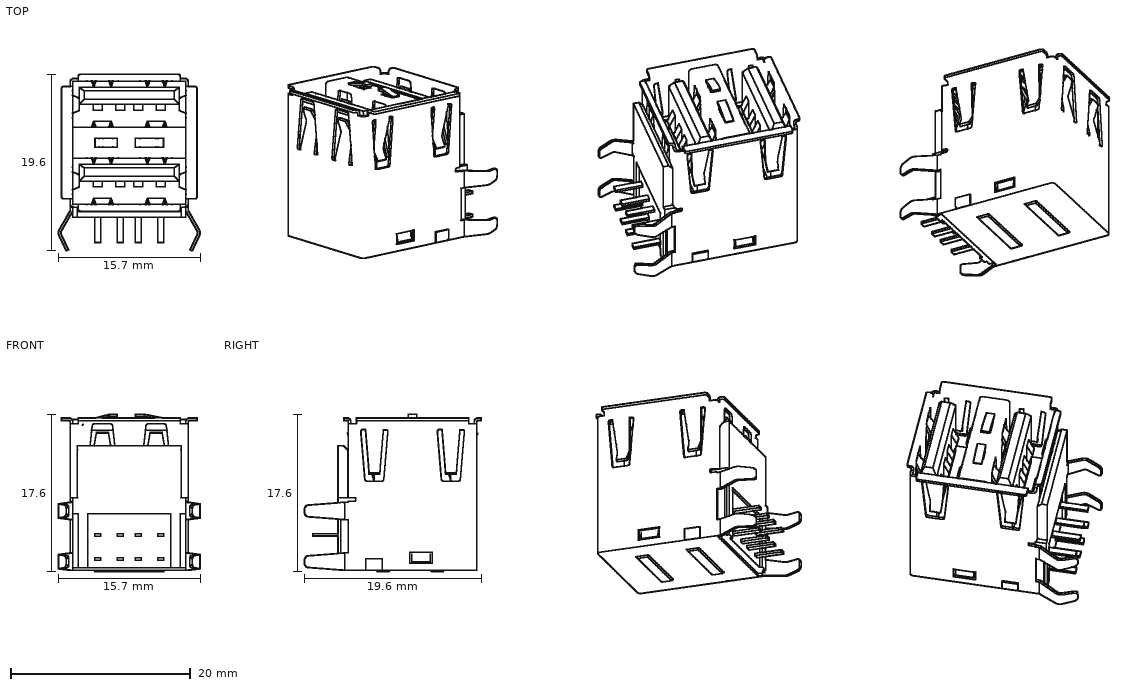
import cadquery as cq
import math


SHEET = 0.3
BEND_INNER = 0.12
BEND_OUTER = BEND_INNER + SHEET

SHELL_X = 13.15
SHELL_Y = 14.3
SHELL_TOP = 16.95
CORNER_TOP = 16.3
INNER_X = SHELL_X - 2 * SHEET
INNER_Y = SHELL_Y - 2 * SHEET

FLANGE_FRONT_LENGTH = 11.35
FLANGE_SIDE_LENGTH = 12.51
FLANGE_FRONT_REACH = 7.62
FLANGE_SIDE_REACH = 7.55
FLANGE_CORNER = 0.27

OPENING_TOP = 8.1
SLOT_HEIGHT = 0.43
SLOT_END_Y = -6.3
SLOT_END_RADIUS = 0.206

SIDE_LEAF_WIDTHS = (2.0, 1.37, 1.18)
SIDE_LEAF_BEND_DROP = 3.5
SIDE_LEAF_TIP_DROP = 1.05
SIDE_WINDOW_WIDTHS = (3.02, 2.06)
PORT_LEAF_WIDTHS = (2.44, 1.95, 1.25)
PORT_LEAF_BEND_DROP = 2.99
PORT_LEAF_TIP_DROP = 1.65
PORT_WINDOW_WIDTHS = (3.54, 2.22)
LEAF_LEAD = 0.27
LEAF_RADIUS = 0.2
PORT_WINDOW_LENGTH = 5.97
SIDE_WINDOW_LENGTH = 5.73
PORT_WINDOW_TOP = 16.28
SIDE_WINDOW_TOP = 15.65
WINDOW_ROUND = 0.24
PORT_ROOT_Z = PORT_WINDOW_TOP - PORT_WINDOW_LENGTH
LEAF_X = 2.99
LEAF_TIP_PLAY = 0.1
SIDE_LEAF_DEPTH = 0.75
PORT_LEAF_DEPTH = 0.69
SIDE_LEAF_SPACING = 8.5
SIDE_LEAF_BACK_Y = 4.26

LEG_ROOT_HEIGHT = 1.95
LEG_TIP_HEIGHT = 1.25
LEG_SPACING = 5.64
LEG_BEND_Y = -7.56
LEG_KNEE_X = 7.97
LEG_KNEE_Y = -10.0
LEG_TIP_X = 7.01
LEG_TIP_Y = -12.02
LEG_KNEE_RADIUS = 0.79
LEG_TIP_ROUND = 0.5

LATCH_Y = 0.95
LATCH_Z = 1.41
LATCH_WIDTH = 2.51
LATCH_HEIGHT = 1.22
BARB_WIDTH = 2.05
BARB_HEIGHT = 0.8
BARB_OUT = 0.2
BARB_DROP = 0.04

FOLD_Y = -4.26
FOLD_WIDTH = 1.83
FOLD_HEIGHT = 1.3
FOLD_OUT = 0.2
FOLD_RADIUS = 0.35
RIDGE_X = 7.85
RIDGE_Y = 1.5
RIDGE_HEIGHT = 0.18
RIDGE_TAPER = 40
RIDGE_PLACES = [2.75, -3.26]

DIVIDER_Y = 3.44
DIVIDER_TOP = 16.8
TAB_TOP = 17.38
TAB_WIDTH = 0.96
TAB_THICK = 0.25
TAB_ROOT_X = 3.83
TAB_HOLE_ROOT_X = 2.95
TAB_OVERHANG = 0.5
TAB_ROOT_TOP = 16.93
SHORT_TAB_BEND_X = 2.06
SHORT_TAB_TIP_X = 1.34
SHORT_TAB_RADIUS = 1.87
LONG_TAB_BEND_X = 1.57
LONG_TAB_TIP_X = 0.67
LONG_TAB_RADIUS = 4.03

FLOOR_Z = OPENING_TOP
FACE_Y = -8.29
PLATE_X = 11.55
PLATE_TOP = 13.87
PLATE_BACK_Y = -7.19
PLATE_CHAMFER = 0.47
RECESS_TOP = 6.28
RECESS_X = 9.27
RECESS_DEPTH = 0.31
STEP_X = 11.35

TONGUE_X = 11.08
TONGUE_Y = 1.87
TONGUE_TOP = 16.42
TONGUE_SHOULDER = 15.57
TONGUE_TOP_X = 10.05
TONGUE_TOP_Y = 0.96
TONGUE_TOP_SHIFT = 0.08
TONGUE_BACK_Y = 5.2
TONGUE_SPACING = 8.55

CONTACT_PLACES = [-3.5, -1.0, 1.0, 3.5]
CONTACT_WIDTH = 1.0
CONTACT_BULGE = 0.65
CONTACT_LOW = 9.92
CONTACT_PEAK = 11.98
CONTACT_HIGH = 13.35
PIN_WIDTH = 0.7
PIN_THICK = 0.27
PIN_END_Y = -11.12
PIN_ROWS = [1.28, 3.95]


def block(x_range, y_range, z_range):
    """Box between two limits along each axis."""
    size = [high - low for low, high in (x_range, y_range, z_range)]
    corner = (x_range[0], y_range[0], z_range[0])
    return cq.Workplane("XY").box(*size, centered=False).translate(corner)


def bent_strip(path, thickness):
    """Closed outline of a bent sheet: the path and its parallel to the left."""
    turns = [math.atan2(b[1] - a[1], b[0] - a[0]) for a, b in zip(path, path[1:])]
    parallel = []
    for i, point in enumerate(path):
        before = turns[max(i - 1, 0)]
        after = turns[min(i, len(turns) - 1)]
        middle = (before + after) / 2
        offset = thickness / math.cos((after - before) / 2)
        parallel.append((point[0] - offset * math.sin(middle), point[1] + offset * math.cos(middle)))
    return path + parallel[::-1]


def round_edge(body, direction, point, radius):
    """Fillet the edge along one axis whose middle is nearest to a point."""
    nearest = cq.selectors.NearestToPointSelector(point)
    return body.edges("|" + direction).edges(nearest).fillet(radius)


def trapezoid(width_start, width_end, length):
    """Outline centred on the vertical axis, from height 0 down to -length."""
    return [
        (-width_start / 2, 0),
        (width_start / 2, 0),
        (width_end / 2, -length),
        (-width_end / 2, -length),
    ]



def leaf(root_width, bend_width, tip_width, depth, bend_drop, tip_drop, tip_y):
    """Narrowing leaf that leans in to a depth over bend_drop, then flares back to tip_y over tip_drop."""
    bend_z = -LEAF_LEAD - bend_drop
    tip_z = bend_z - tip_drop
    outline = bent_strip([(0, 0), (0, -LEAF_LEAD), (depth, bend_z), (tip_y, tip_z)], SHEET)
    hollow_bend, crown_bend = outline[2], outline[5]
    sheet = cq.Workplane("YZ").polyline(outline).close().extrude(root_width, both=True)
    sheet = round_edge(sheet, "X", (0, *hollow_bend), LEAF_RADIUS)
    sheet = round_edge(sheet, "X", (0, *crown_bend), LEAF_RADIUS + SHEET)
    below_tip = tip_z - SHEET
    envelope = (
        cq.Workplane("XZ")
        .polyline([
            (-root_width / 2, 0),
            (root_width / 2, 0),
            (bend_width / 2, bend_z),
            (tip_width / 2, below_tip),
            (-tip_width / 2, below_tip),
            (-bend_width / 2, bend_z),
        ])
        .close()
        .extrude(SHELL_Y, both=True)
    )
    return sheet.intersect(envelope)


def leaf_window(root_width, tip_width, length):
    outline = trapezoid(root_width, tip_width, length)
    cutter = cq.Workplane("XZ").polyline(outline).close().extrude(-SHEET)
    return cutter.edges("|Y").fillet(WINDOW_ROUND)


def side_leaf():
    return leaf(
        *SIDE_LEAF_WIDTHS,
        SIDE_LEAF_DEPTH,
        SIDE_LEAF_BEND_DROP,
        SIDE_LEAF_TIP_DROP,
        LEAF_TIP_PLAY,
    )


def side_window():
    return leaf_window(*SIDE_WINDOW_WIDTHS, SIDE_WINDOW_LENGTH)


def port_leaf():
    """Leaf of the wide port faces; it stands on its root."""
    hanging = leaf(
        *PORT_LEAF_WIDTHS,
        PORT_LEAF_DEPTH,
        PORT_LEAF_BEND_DROP,
        PORT_LEAF_TIP_DROP,
        -LEAF_TIP_PLAY,
    )
    return hanging.rotate((0, 0, 0), (0, 1, 0), 180)


def port_window():
    return leaf_window(*PORT_WINDOW_WIDTHS, PORT_WINDOW_LENGTH).rotate((0, 0, 0), (0, 1, 0), 180)


def fit_leaves(body, window, spring, turn, places):
    """Open a window and set a spring leaf at each place in a wall turned about Z."""
    axis = ((0, 0, 0), (0, 0, 1))
    for place in places:
        body = body.cut(window.rotate(*axis, turn).translate(place))
        body = body.union(spring.rotate(*axis, turn).translate(place))
    return body



def cavity(bottom, top):
    """Space between the shell walls from one height to another."""
    return (
        cq.Workplane("XY", origin=(0, 0, bottom))
        .rect(INNER_X, INNER_Y)
        .extrude(top - bottom)
        .edges("|Z")
        .fillet(BEND_INNER)
    )


def flange(wall_distance, reach, length):
    """Flange on the -Y side, bent outwards from a wall whose outer face is at wall_distance."""
    inner_face = wall_distance - SHEET
    path = [(-inner_face, CORNER_TOP), (-inner_face, SHELL_TOP), (-reach, SHELL_TOP)]
    strip = cq.Workplane("YZ").polyline(bent_strip(path, SHEET)).close().extrude(length / 2, both=True)
    strip = round_edge(strip, "X", (0, -inner_face, SHELL_TOP), BEND_OUTER)
    strip = round_edge(strip, "X", (0, -wall_distance, SHELL_TOP - SHEET), BEND_INNER)
    return strip.faces("<Y").edges("|Z").fillet(FLANGE_CORNER)


def leg():
    """Lower leg on the -X side: a strip cranked out and back, tapered to a round tip."""
    wall = -SHELL_X / 2
    path = [
        (wall, -SHELL_Y / 2),
        (wall, LEG_BEND_Y),
        (-LEG_KNEE_X, LEG_KNEE_Y),
        (-LEG_TIP_X, LEG_TIP_Y),
    ]
    outline = bent_strip(path, SHEET)
    strip = cq.Workplane("XY").polyline(outline).close().extrude(LEG_ROOT_HEIGHT)
    middle = LEG_ROOT_HEIGHT / 2
    outer_knee, inner_knee = outline[2], outline[5]
    strip = round_edge(strip, "Z", (*outer_knee, middle), LEG_KNEE_RADIUS)
    strip = round_edge(strip, "Z", (*inner_knee, middle), LEG_KNEE_RADIUS - SHEET)
    half_root = LEG_ROOT_HEIGHT / 2
    half_tip = LEG_TIP_HEIGHT / 2
    taper = (
        cq.Workplane("YZ")
        .polyline([
            (-SHELL_Y / 2, middle - half_root),
            (LEG_BEND_Y, middle - half_root),
            (LEG_TIP_Y, middle - half_tip),
            (LEG_TIP_Y, middle + half_tip),
            (LEG_BEND_Y, middle + half_root),
            (-SHELL_Y / 2, middle + half_root),
        ])
        .close()
        .extrude(SHELL_X, both=True)
        .faces("<Y")
        .edges("|X")
        .fillet(LEG_TIP_ROUND)
    )
    return strip.intersect(taper)


def fold():
    """Folded tab standing out of the -X side, with its rounded bend at the bottom."""
    wall = -SHELL_X / 2
    y_range = (FOLD_Y - FOLD_WIDTH / 2, FOLD_Y + FOLD_WIDTH / 2)
    tab = block((wall - FOLD_OUT, wall + SHEET), y_range, (0, FOLD_HEIGHT))
    return tab.edges("<X and |Y").edges("<Z").fillet(FOLD_RADIUS)


def make_shell():
    half_x = SHELL_X / 2
    half_y = SHELL_Y / 2
    body = cq.Workplane("XY").rect(SHELL_X, SHELL_Y).extrude(CORNER_TOP).edges("|Z").fillet(BEND_OUTER)
    body = body.union(block((-half_x, half_x), (-half_y, SLOT_END_Y), (0, OPENING_TOP)))
    body = body.cut(cavity(SHEET, SHELL_TOP))

    body = body.cut(block((-INNER_X / 2, INNER_X / 2), (-half_y, SLOT_END_Y), (SHEET, OPENING_TOP)))
    slot = block((-half_x, half_x), (-half_y, SLOT_END_Y), (OPENING_TOP - SLOT_HEIGHT, OPENING_TOP))
    slot = slot.edges("|X and >Y").fillet(SLOT_END_RADIUS)
    body = body.cut(slot)

    axis = ((0, 0, 0), (0, 0, 1))
    front_flange = flange(half_y, FLANGE_FRONT_REACH, FLANGE_FRONT_LENGTH)
    side_flange = flange(half_x, FLANGE_SIDE_REACH, FLANGE_SIDE_LENGTH)
    for turn in (0, 180):
        body = body.union(front_flange.rotate(*axis, turn))
        body = body.union(side_flange.rotate(*axis, turn + 90))

    lower_leg = leg()
    for lift in (0, LEG_SPACING):
        raised = lower_leg.translate((0, 0, lift))
        body = body.union(raised).union(raised.mirror("YZ"))
    body = body.cut(
        cq.Workplane("XY").box(2 * SHELL_X, LATCH_WIDTH, LATCH_HEIGHT)
        .translate((0, LATCH_Y, LATCH_Z))
    )
    body = body.union(fold()).union(fold().mirror("YZ"))

    for y in RIDGE_PLACES:
        ridge = cq.Workplane("XY").rect(RIDGE_X, RIDGE_Y).extrude(-RIDGE_HEIGHT, taper=RIDGE_TAPER)
        body = body.union(ridge.translate((0, y, 0)))

    side_ys = (SIDE_LEAF_BACK_Y, SIDE_LEAF_BACK_Y - SIDE_LEAF_SPACING)
    for turn, side in ((-90, -1), (90, 1)):
        places = [(side * half_x, y, SIDE_WINDOW_TOP) for y in side_ys]
        body = fit_leaves(body, side_window(), side_leaf(), turn, places)
    for turn, side in ((0, -1), (180, 1)):
        places = [(x, side * half_y, PORT_ROOT_Z) for x in (-LEAF_X, LEAF_X)]
        body = fit_leaves(body, port_window(), port_leaf(), turn, places)
    return body



def lift_tab(body, side, bend_x, tip_x, bend_radius):
    """Add a tab that rises from its root in the divider top and levels out over a hole."""
    path = [(tip_x, TAB_TOP), (bend_x, TAB_TOP), (TAB_ROOT_X, TAB_ROOT_TOP)]
    strip = bent_strip(path, -TAB_THICK)
    tab = cq.Workplane("XZ").polyline(strip).close().extrude(TAB_WIDTH / 2, both=True)
    upper_bend, lower_bend = strip[1], strip[4]
    tab = round_edge(tab, "Y", (upper_bend[0], 0, upper_bend[1]), bend_radius)
    tab = round_edge(tab, "Y", (lower_bend[0], 0, lower_bend[1]), bend_radius - TAB_THICK)
    half = TAB_WIDTH / 2
    hole_x = (tip_x + TAB_OVERHANG, TAB_HOLE_ROOT_X)
    hole = block(hole_x, (-half, half), (DIVIDER_TOP - SHEET, DIVIDER_TOP))
    if side < 0:
        tab = tab.mirror("YZ")
        hole = hole.mirror("YZ")
    return body.cut(hole).union(tab)


def make_divider():
    half_y = DIVIDER_Y / 2
    height = DIVIDER_TOP - FLOOR_Z
    centre_z = FLOOR_Z + height / 2
    outer = cq.Workplane("XY").box(INNER_X, DIVIDER_Y, height).edges("|X and >Z").fillet(BEND_OUTER)
    inner = (
        cq.Workplane("XY").box(INNER_X, DIVIDER_Y - 2 * SHEET, height)
        .edges("|X and >Z").fillet(BEND_INNER)
        .translate((0, 0, -SHEET))
    )
    body = outer.cut(inner).translate((0, 0, centre_z))
    body = lift_tab(body, -1, SHORT_TAB_BEND_X, SHORT_TAB_TIP_X, SHORT_TAB_RADIUS)
    body = lift_tab(body, 1, LONG_TAB_BEND_X, LONG_TAB_TIP_X, LONG_TAB_RADIUS)

    for turn, side in ((0, 1), (180, -1)):
        places = [(x, side * (half_y - SHEET), PORT_ROOT_Z) for x in (-LEAF_X, LEAF_X)]
        body = fit_leaves(body, port_window(), port_leaf(), turn, places)
    return body



def tongue():
    """Tongue at Y = 0 with a bevelled top and four contact bulges on its -Y face."""
    post = block(
        (-TONGUE_X / 2, TONGUE_X / 2), (-TONGUE_Y / 2, TONGUE_Y / 2), (FLOOR_Z, TONGUE_SHOULDER)
    )
    bevel = (
        cq.Workplane("XY", origin=(0, 0, TONGUE_SHOULDER))
        .rect(TONGUE_X, TONGUE_Y)
        .workplane(offset=TONGUE_TOP - TONGUE_SHOULDER)
        .center(0, TONGUE_TOP_SHIFT)
        .rect(TONGUE_TOP_X, TONGUE_TOP_Y)
        .loft(ruled=True)
    )
    body = post.union(bevel)
    face = -TONGUE_Y / 2
    bulge = (
        cq.Workplane("YZ")
        .polyline([(face, CONTACT_LOW), (face - CONTACT_BULGE, CONTACT_PEAK), (face, CONTACT_HIGH)])
        .close()
        .extrude(CONTACT_WIDTH / 2, both=True)
    )
    for x in CONTACT_PLACES:
        body = body.union(bulge.translate((x, 0, 0)))
    return body


def barb():
    """Latch barb on the -X side, sloping out towards its lower edge."""
    top = LATCH_Z + BARB_HEIGHT / 2 - BARB_DROP
    wall = -INNER_X / 2
    return (
        cq.Workplane("XZ", origin=(0, LATCH_Y, 0))
        .polyline([(wall, top), (wall - BARB_OUT, top - BARB_HEIGHT), (wall, top - BARB_HEIGHT)])
        .close()
        .extrude(BARB_WIDTH / 2, both=True)
    )


def make_insulator():
    half_x = INNER_X / 2
    body = cavity(SHEET, FLOOR_Z)
    body = body.union(block((-half_x, half_x), (FACE_Y, SLOT_END_Y), (SHEET, OPENING_TOP)))

    plate = block((-PLATE_X / 2, PLATE_X / 2), (FACE_Y, PLATE_BACK_Y), (OPENING_TOP, PLATE_TOP))
    body = body.union(plate.edges(">Y and >Z").chamfer(PLATE_CHAMFER))

    low = (SHEET, RECESS_TOP)
    body = body.cut(block((-RECESS_X / 2, RECESS_X / 2), (FACE_Y, FACE_Y + RECESS_DEPTH), low))
    step = block((-half_x, -STEP_X / 2), (FACE_Y, FACE_Y + RECESS_DEPTH), low)
    body = body.cut(step).cut(step.mirror("YZ"))

    for y in (TONGUE_BACK_Y, TONGUE_BACK_Y - TONGUE_SPACING):
        body = body.union(tongue().translate((0, y, 0)))
    body = body.union(barb()).union(barb().mirror("YZ"))

    for x in CONTACT_PLACES:
        for z in PIN_ROWS:
            pin = block(
                (x - PIN_WIDTH / 2, x + PIN_WIDTH / 2),
                (PIN_END_Y, FACE_Y + RECESS_DEPTH),
                (z - PIN_THICK / 2, z + PIN_THICK / 2),
            )
            body = body.union(pin)
    return body


shell = make_shell()
divider = make_divider()
insulator = make_insulator()

result = cq.Compound.makeCompound([*shell.vals(), *divider.vals(), *insulator.vals()])